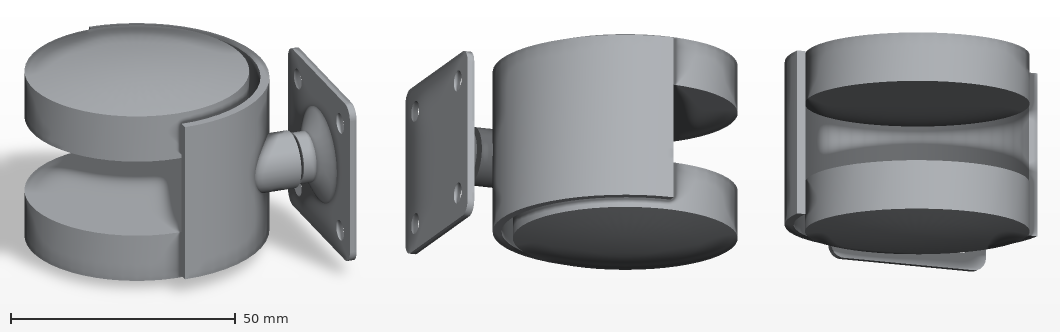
import cadquery as cq


wheel_radius = 25.0
wheel_gap = 18.0
wheel_rim_width = 11.0
wheel_dome_height = 2.0

housing_radius = 29.5
housing_wall = 2.0
housing_height = 37.0

swivel_x = 15.5
boss_radius = 6.5
boss_end_y = 30.7

neck_radius = 3.3
neck_length = 0.9
collar_radius = 5.8
collar_length = 3.0
cone_radius = 11.0
cone_length = 2.8
plate_size = 38.0
plate_thickness = 1.6
plate_corner_radius = 3.0
plate_hole_diameter = 4.7
plate_hole_spacing = 26.0


def make_wheel(side):
    """Wheel with a flat inner face and a domed outer face; side is +1 (upper) or -1 (lower)."""
    inner_z = side * wheel_gap / 2
    rim_z = inner_z + side * wheel_rim_width
    crown_z = rim_z + side * wheel_dome_height
    dome_sphere_radius = (wheel_radius**2 + wheel_dome_height**2) / (2 * wheel_dome_height)
    dome_center_z = crown_z - side * dome_sphere_radius
    arc_mid_x = wheel_radius / 2
    arc_mid_z = dome_center_z + side * (dome_sphere_radius**2 - arc_mid_x**2) ** 0.5
    return (
        cq.Workplane("XZ")
        .moveTo(0, inner_z)
        .lineTo(wheel_radius, inner_z)
        .lineTo(wheel_radius, rim_z)
        .threePointArc((arc_mid_x, arc_mid_z), (0, crown_z))
        .close()
        .revolve(360, (0, 0), (0, 1))
    )


def make_housing():
    """Half-round shell with the swivel boss joined to its outside."""
    shell_inner_radius = housing_radius - housing_wall
    shell = (
        cq.Workplane("XY")
        .moveTo(-housing_radius, 0)
        .threePointArc((0, housing_radius), (housing_radius, 0))
        .lineTo(shell_inner_radius, 0)
        .threePointArc((0, shell_inner_radius), (-shell_inner_radius, 0))
        .close()
        .extrude(housing_height / 2, both=True)
    )
    shell_envelope = cq.Workplane("XY").circle(housing_radius).extrude(housing_height / 2, both=True)
    boss = swivel_workplane(0).circle(boss_radius).extrude(boss_end_y).cut(shell_envelope)
    return shell.union(boss)


def swivel_workplane(y):
    """Workplane centred on the swivel axis at the given Y, with its normal toward +Y."""
    return cq.Workplane("XZ", origin=(swivel_x, y, 0)).transformed(rotate=(180, 0, 0))


def make_mounting_plate():
    """Square screw plate with a flared, stepped stem that stands on the boss."""
    collar_start = boss_end_y + neck_length
    cone_start = collar_start + collar_length
    plate_start = cone_start + cone_length
    plate = (
        swivel_workplane(plate_start)
        .rect(plate_size, plate_size)
        .extrude(plate_thickness)
        .edges("|Y")
        .fillet(plate_corner_radius)
    )
    holes = (
        swivel_workplane(plate_start)
        .rect(plate_hole_spacing, plate_hole_spacing, forConstruction=True)
        .vertices()
        .circle(plate_hole_diameter / 2)
        .extrude(plate_thickness)
    )
    stem = (
        cq.Workplane("XY")
        .moveTo(swivel_x, boss_end_y)
        .lineTo(swivel_x + neck_radius, boss_end_y)
        .lineTo(swivel_x + neck_radius, collar_start)
        .lineTo(swivel_x + collar_radius, collar_start)
        .lineTo(swivel_x + collar_radius, cone_start)
        .lineTo(swivel_x + cone_radius, plate_start)
        .lineTo(swivel_x, plate_start)
        .close()
        .revolve(360, (swivel_x, 0), (swivel_x, 1))
    )
    return plate.cut(holes).union(stem)


wheels = [make_wheel(side) for side in (1, -1)]
housing = make_housing()
mounting_plate = make_mounting_plate()

result = cq.Compound.makeCompound(
    [housing.val(), mounting_plate.val(), *[wheel.val() for wheel in wheels]]
)